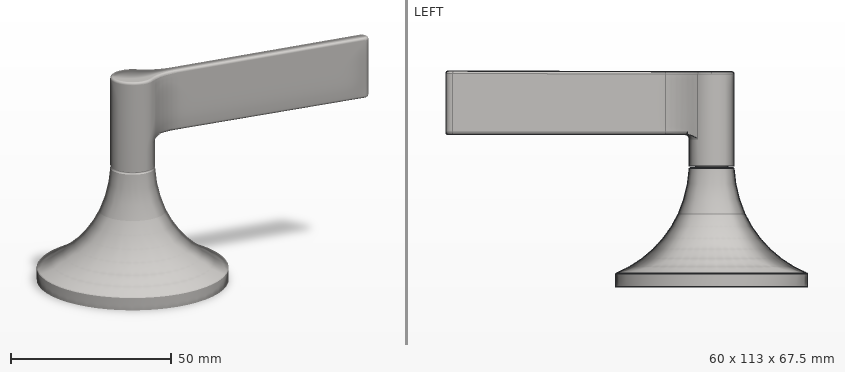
import cadquery as cq
import math

BASE_DIAMETER = 60.0
BASE_RADIUS = BASE_DIAMETER / 2
RIM_HEIGHT = 4.1
RIM_CHAMFER = 0.2
WAIST_RADIUS = 10.4
WAIST_HEIGHT = 22.8
BASE_HEIGHT = 37.3
FLARE_MID_RADIUS = 17.7
FLARE_MID_HEIGHT = 12.3
THROAT_MID_RADIUS = 8.0
THROAT_MID_HEIGHT = 30.0
COLLAR_CHAMFER = 0.3
NECK_RADIUS = 5.1
GAP = 0.5

POST_RADIUS = 7.0
POST_BOTTOM = BASE_HEIGHT + GAP
POST_TOP = 67.2
TOTAL_HEIGHT = 67.5
LEVER_BOTTOM = 47.6
TOTAL_LENGTH = 113
LEVER_LENGTH = TOTAL_LENGTH - BASE_RADIUS
ROOT_HALF_WIDTH = 2.0
TIP_HALF_WIDTH = 2.1
BLEND_RADIUS = 16.2
UNDERSIDE_FILLET = 1.4
EDGE_FILLET = 0.8


def make_base():
    """Revolved trumpet-shaped base with the neck that carries the handle."""
    profile = (
        cq.Workplane("XZ")
        .lineTo(BASE_RADIUS, 0)
        .lineTo(BASE_RADIUS, RIM_HEIGHT)
        .lineTo(BASE_RADIUS - RIM_CHAMFER, RIM_HEIGHT + RIM_CHAMFER)
        .threePointArc((FLARE_MID_RADIUS, FLARE_MID_HEIGHT), (WAIST_RADIUS, WAIST_HEIGHT))
        .threePointArc((THROAT_MID_RADIUS, THROAT_MID_HEIGHT), (POST_RADIUS, BASE_HEIGHT - COLLAR_CHAMFER))
        .lineTo(POST_RADIUS - COLLAR_CHAMFER, BASE_HEIGHT)
        .lineTo(NECK_RADIUS, BASE_HEIGHT)
        .lineTo(NECK_RADIUS, POST_BOTTOM)
        .lineTo(0, POST_BOTTOM)
        .close()
    )
    return profile.revolve(360, (0, 0, 0), (0, 1, 0))


def teardrop(bottom):
    """Teardrop plan of post and lever, extruded from bottom to the full height."""
    centre_x = ROOT_HALF_WIDTH + BLEND_RADIUS
    centre_distance = POST_RADIUS + BLEND_RADIUS
    centre_y = math.sqrt(centre_distance**2 - centre_x**2)
    tangent_x = centre_x * POST_RADIUS / centre_distance
    tangent_y = centre_y * POST_RADIUS / centre_distance
    half_sweep = math.atan2(centre_y - tangent_y, centre_x - tangent_x) / 2
    mid_x = centre_x - BLEND_RADIUS * math.cos(half_sweep)
    mid_y = centre_y - BLEND_RADIUS * math.sin(half_sweep)
    round_start = LEVER_LENGTH - TIP_HALF_WIDTH

    return (
        cq.Workplane("XY", origin=(0, 0, bottom))
        .moveTo(tangent_x, tangent_y)
        .threePointArc((mid_x, mid_y), (ROOT_HALF_WIDTH, centre_y))
        .lineTo(TIP_HALF_WIDTH, round_start)
        .threePointArc((0, LEVER_LENGTH), (-TIP_HALF_WIDTH, round_start))
        .lineTo(-ROOT_HALF_WIDTH, centre_y)
        .threePointArc((-mid_x, mid_y), (-tangent_x, tangent_y))
        .threePointArc((0, -POST_RADIUS), (tangent_x, tangent_y))
        .close()
        .extrude(TOTAL_HEIGHT - bottom)
    )


def make_top_trim():
    """Wedge above the handle: level over the post, then rising to the lever tip."""
    return (
        cq.Workplane("YZ")
        .moveTo(-POST_RADIUS, TOTAL_HEIGHT)
        .lineTo(-POST_RADIUS, POST_TOP)
        .lineTo(0, POST_TOP)
        .lineTo(LEVER_LENGTH, TOTAL_HEIGHT)
        .close()
        .extrude(POST_RADIUS, both=True)
    )


def make_lever():
    """Teardrop lever with rounded bottom and top edges."""
    lever = teardrop(LEVER_BOTTOM).faces("<Z").edges().fillet(EDGE_FILLET)
    lever = lever.cut(make_top_trim())
    rim = lever.edges(cq.selectors.BoxSelector(
        (-POST_RADIUS, -LEVER_LENGTH, POST_TOP - EDGE_FILLET),
        (POST_RADIUS, LEVER_LENGTH, TOTAL_HEIGHT + EDGE_FILLET),
    )).edges("not |X")
    return rim.fillet(EDGE_FILLET)


def make_underside_web():
    """Concave corner under the lever root, flaring out from the post."""
    web_radius = POST_RADIUS + UNDERSIDE_FILLET
    flare = (
        cq.Workplane("XZ")
        .moveTo(NECK_RADIUS, LEVER_BOTTOM - UNDERSIDE_FILLET)
        .lineTo(POST_RADIUS, LEVER_BOTTOM - UNDERSIDE_FILLET)
        .radiusArc((web_radius, LEVER_BOTTOM), UNDERSIDE_FILLET)
        .lineTo(web_radius, LEVER_BOTTOM + EDGE_FILLET)
        .lineTo(NECK_RADIUS, LEVER_BOTTOM + EDGE_FILLET)
        .close()
        .revolve(360, (0, 0, 0), (0, 1, 0))
    )
    return flare.intersect(teardrop(LEVER_BOTTOM - UNDERSIDE_FILLET))


def make_handle():
    """Post and lever as one solid."""
    post = (
        cq.Workplane("XY", origin=(0, 0, POST_BOTTOM))
        .circle(POST_RADIUS)
        .extrude(LEVER_BOTTOM + UNDERSIDE_FILLET - POST_BOTTOM)
    )
    return make_lever().union(post.union(make_underside_web()))


base = make_base()
handle = make_handle()

result = cq.Compound.makeCompound([base.val(), handle.val()])